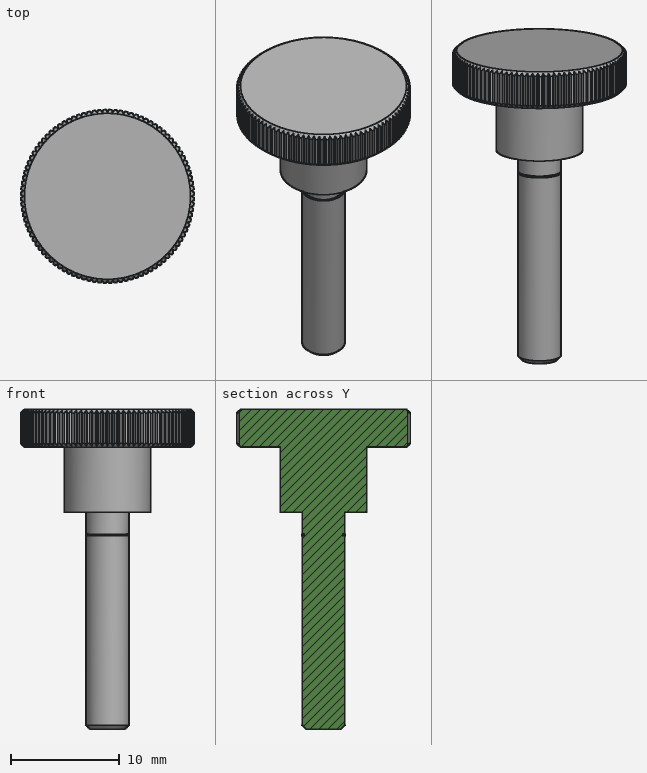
import cadquery as cq
import math

head_thickness = 3.5
collar_height = 6.0
screw_length = 20.0
neck_length = 2.0
head_bottom = collar_height

head_radius = 16.0 / 2
collar_radius = 8.0 / 2
screw_radius = 4.0 / 2

head_chamfer = 0.35
tip_chamfer = 0.4

groove_width = 0.15
groove_depth = 0.2

knurl_count = 100
knurl_depth = 0.21
notch_angle = 70.0


def polar_point(radius, angle):
    return (radius * math.cos(angle), radius * math.sin(angle))


def knurled_head():
    """Disc with V-notched rim; a chamfered blank trims both ends of the teeth."""
    root_radius = head_radius - knurl_depth
    pitch_angle = 2 * math.pi / knurl_count
    half_width = knurl_depth * math.tan(math.radians(notch_angle / 2))
    half_notch = math.asin(half_width / head_radius)
    outline = []
    for notch in range(knurl_count):
        root_angle = notch * pitch_angle
        outline.append(polar_point(head_radius, root_angle - half_notch))
        outline.append(polar_point(root_radius, root_angle))
        outline.append(polar_point(head_radius, root_angle + half_notch))
    toothed_disc = (
        cq.Workplane("XY", origin=(0, 0, head_bottom)).polyline(outline).close().extrude(head_thickness)
    )
    blank = (
        cq.Workplane("XY", origin=(0, 0, head_bottom))
        .circle(head_radius)
        .extrude(head_thickness)
        .faces("<Z or >Z")
        .chamfer(head_chamfer)
    )
    return toothed_disc.intersect(blank)


def collar():
    return cq.Workplane("XY").circle(collar_radius).extrude(collar_height)


def screw():
    """Plain neck and shank with a dividing square groove and a chamfered tip."""
    groove_top = -neck_length
    groove_bottom = groove_top - groove_width
    profile = [
        (0, 0),
        (screw_radius, 0),
        (screw_radius, groove_top),
        (screw_radius - groove_depth, groove_top),
        (screw_radius - groove_depth, groove_bottom),
        (screw_radius, groove_bottom),
        (screw_radius, -screw_length + tip_chamfer),
        (screw_radius - tip_chamfer, -screw_length),
        (0, -screw_length),
    ]
    return cq.Workplane("XZ").polyline(profile).close().revolve(360, (0, 0, 0), (0, 1, 0))


result = knurled_head().union(collar()).union(screw())